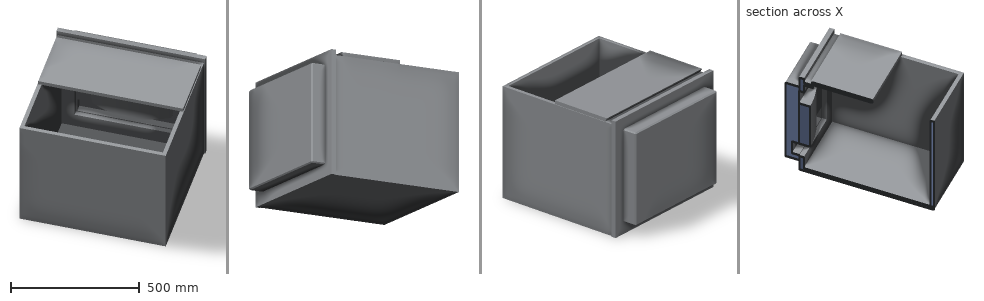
import cadquery as cq
import math

BOX_WIDTH = 589.5
BOX_DEPTH = 550.0
BOX_HEIGHT = 480.0
INNER_WIDTH = 557.5
BOARD = (BOX_WIDTH - INNER_WIDTH) / 2

PANEL_WIDTH = 600.0
PANEL_THICKNESS = 20.0
PANEL_HEIGHT = 500.0
WINDOW_WIDTH = 453.5
WINDOW_HEIGHT = 350.0

TV_WIDTH = 500.0
TV_DEPTH = 60.0
TV_HEIGHT = 400.0
TV_CHAMFER = 5.0
RECESS_WIDTH = 442.0
RECESS_DEPTH = 29.5
RECESS_BOTTOM = 79.5
RECESS_TOP = 140.0

SCREEN_RADIUS = 315.0
SCREEN_WIDTH = 330.0
SCREEN_CORNER_WIDTH = 316.0
SCREEN_OUTLINE_WIDTH = 353.0

LID_WIDTH = 584.0
LID_LENGTH = 260.0
LID_START = 260.0
LID_BEVEL = 9.5

RAIL_DEPTH = 40.0

PANEL_BACK = BOX_DEPTH + PANEL_THICKNESS
MID_HEIGHT = PANEL_HEIGHT / 2
SCREEN_BOTTOM = RECESS_TOP
SCREEN_TOP = PANEL_HEIGHT - SCREEN_BOTTOM


def block(width, depth, height, y_start, z_start, x_centre=0):
    """A box centred on x_centre, starting at the given Y and Z."""
    shape = cq.Workplane("XY").box(width, depth, height, centered=(True, False, False))
    return shape.translate((x_centre, y_start, z_start))


def make_side(direction):
    """A full-depth side board; direction is -1 for the left and 1 for the right."""
    return block(BOARD, BOX_DEPTH, BOX_HEIGHT, 0, 0, direction * (BOX_WIDTH - BOARD) / 2)


def make_floor():
    return block(INNER_WIDTH, BOX_DEPTH, BOARD, 0, 0)


def make_front():
    return block(INNER_WIDTH, BOARD, BOX_HEIGHT - BOARD, 0, BOARD)


def make_rail():
    return block(INNER_WIDTH, RAIL_DEPTH, BOARD, BOX_DEPTH - RAIL_DEPTH, BOX_HEIGHT - BOARD)


def make_back_panel():
    panel = block(PANEL_WIDTH, PANEL_THICKNESS, PANEL_HEIGHT, BOX_DEPTH, 0)
    window = block(WINDOW_WIDTH, PANEL_THICKNESS, WINDOW_HEIGHT, BOX_DEPTH, MID_HEIGHT - WINDOW_HEIGHT / 2)
    return panel.cut(window)


def make_lid():
    """A board whose rear edge slopes forward towards its underside."""
    lid_end = LID_START + LID_LENGTH
    top = BOX_HEIGHT + BOARD
    return (
        cq.Workplane("YZ")
        .moveTo(LID_START, BOX_HEIGHT)
        .lineTo(lid_end - LID_BEVEL, BOX_HEIGHT)
        .lineTo(lid_end, top)
        .lineTo(LID_START, top)
        .close()
        .extrude(LID_WIDTH / 2, both=True)
    )


def make_television():
    body = block(TV_WIDTH, TV_DEPTH, TV_HEIGHT, PANEL_BACK, MID_HEIGHT - TV_HEIGHT / 2)
    body = body.edges("|Y or >Y").chamfer(TV_CHAMFER)
    recess = block(RECESS_WIDTH, RECESS_DEPTH, RECESS_TOP - RECESS_BOTTOM, PANEL_BACK, RECESS_BOTTOM)
    return body.cut(recess)


def make_screen():
    """A plate with a flat back, a front bulging as an upright cylinder, and side ends bowed outwards."""
    half_width = SCREEN_WIDTH / 2
    bulge = SCREEN_RADIUS - math.sqrt(SCREEN_RADIUS**2 - half_width**2)
    bulged_plate = (
        cq.Workplane("XY", origin=(0, 0, SCREEN_BOTTOM))
        .moveTo(-half_width, PANEL_BACK)
        .threePointArc((0, PANEL_BACK - bulge), (half_width, PANEL_BACK))
        .close()
        .extrude(SCREEN_TOP - SCREEN_BOTTOM)
    )
    corner = SCREEN_CORNER_WIDTH / 2
    bow = SCREEN_OUTLINE_WIDTH / 2
    outline = (
        cq.Workplane("XZ", origin=(0, PANEL_BACK, 0))
        .moveTo(-corner, SCREEN_BOTTOM)
        .lineTo(corner, SCREEN_BOTTOM)
        .threePointArc((bow, MID_HEIGHT), (corner, SCREEN_TOP))
        .lineTo(-corner, SCREEN_TOP)
        .threePointArc((-bow, MID_HEIGHT), (-corner, SCREEN_BOTTOM))
        .close()
        .extrude(bulge)
    )
    return bulged_plate.intersect(outline)


sides = [make_side(direction) for direction in (-1, 1)]
bodies = [
    *sides,
    make_floor(),
    make_front(),
    make_rail(),
    make_back_panel(),
    make_lid(),
    make_television(),
    make_screen(),
]
result = cq.Compound.makeCompound([body.val() for body in bodies])